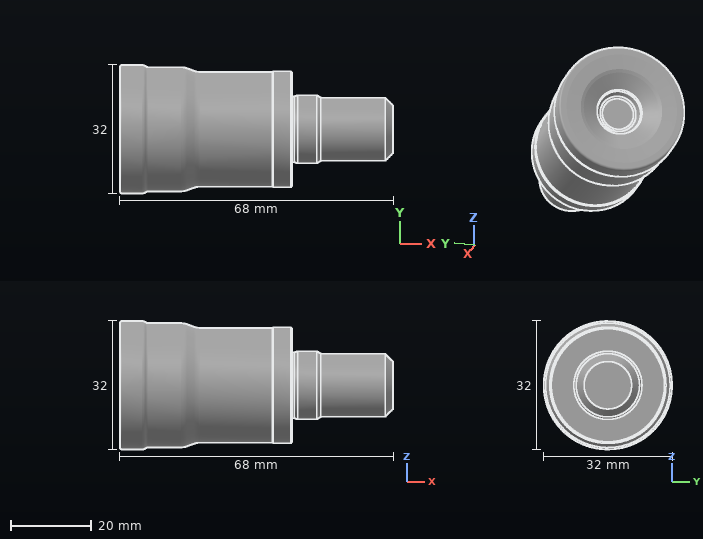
import cadquery as cq
import math

TOTAL_LENGTH = 68.0
HOUSING_LENGTH = 42.9

HEAD_RADIUS = 32.0 / 2
BARREL_RADIUS = 31.0 / 2
NECK_RADIUS = 28.6 / 2
FLANGE_RADIUS = 29.0 / 2
HEAD_EDGE_ROUND = 0.6
HEAD_RIM_END = 5.6
HEAD_CREST_LENGTH = 0.9
HEAD_ROOT_LENGTH = 0.55
TAPER_START = 15.2
TAPER_END = 19.9
TAPER_ANGLE = math.radians(20)
TAPER_DROP = BARREL_RADIUS - NECK_RADIUS
FLANGE_START = 38.15
NECK_END_BEVEL = 0.2
FLANGE_CHAMFER = 0.4

DISH_OUTER_RADIUS = 14.0
DISH_BLEND_RADIUS = 13.25
DISH_BLEND_DEPTH = 0.1
MOUTH_RADIUS = 10.35
MOUTH_DEPTH = 0.35
CONE_OUTER_RADIUS = 9.5
CONE_OUTER_DEPTH = 0.7
CONE_INNER_RADIUS = 5.7
CONE_INNER_DEPTH = 2.85
SOCKET_WALL_RADIUS = 5.5
SOCKET_WALL_DEPTH = 3.7
SOCKET_BASE_RADIUS = 4.55
SOCKET_BASE_DEPTH = 4.75
FLOOR_RADIUS = 3.95
FLOOR_DEPTH = 4.95

ROD_RADIUS = 15.8 / 2
COLLAR_RADIUS = 17.0 / 2
COLLAR_FOOT_RADIUS = 8.2
COLLAR_FOOT_LENGTH = 0.55
COLLAR_START = 44.3
COLLAR_END = 49.0
COLLAR_TAPER_LENGTH = 1.0
ROD_END_CHAMFER = 2.0

AXIS_START = (0, 0, 0)
AXIS_END = (1, 0, 0)


def revolve_about_x(outline):
    """Turn a closed half outline (axial position, radius) around the X axis."""
    return outline.close().revolve(360, AXIS_START, AXIS_END)


def make_housing_blank():
    head_drop = HEAD_RADIUS - BARREL_RADIUS
    shoulder_length = HEAD_CREST_LENGTH + HEAD_ROOT_LENGTH
    crest_drop = head_drop * HEAD_CREST_LENGTH / shoulder_length
    crest_end = HEAD_RIM_END + HEAD_CREST_LENGTH
    shoulder_end = HEAD_RIM_END + shoulder_length

    slope = math.tan(TAPER_ANGLE)
    half_slope = math.tan(TAPER_ANGLE / 2)
    taper_length = TAPER_END - TAPER_START
    arc_length = (taper_length * slope - TAPER_DROP) / (2 * (slope - half_slope))
    arc_drop = arc_length * half_slope

    outline = (
        cq.Workplane("XY")
        .lineTo(0, HEAD_RADIUS - HEAD_EDGE_ROUND)
        .radiusArc((HEAD_EDGE_ROUND, HEAD_RADIUS), HEAD_EDGE_ROUND)
        .lineTo(HEAD_RIM_END, HEAD_RADIUS)
        .tangentArcPoint((crest_end, HEAD_RADIUS - crest_drop), relative=False)
        .tangentArcPoint((shoulder_end, BARREL_RADIUS), relative=False)
        .lineTo(TAPER_START, BARREL_RADIUS)
        .tangentArcPoint((TAPER_START + arc_length, BARREL_RADIUS - arc_drop), relative=False)
        .lineTo(TAPER_END - arc_length, NECK_RADIUS + arc_drop)
        .tangentArcPoint((TAPER_END, NECK_RADIUS), relative=False)
        .lineTo(FLANGE_START - NECK_END_BEVEL, NECK_RADIUS)
        .lineTo(FLANGE_START, NECK_RADIUS - NECK_END_BEVEL)
        .lineTo(FLANGE_START, FLANGE_RADIUS)
        .lineTo(HOUSING_LENGTH - FLANGE_CHAMFER, FLANGE_RADIUS)
        .lineTo(HOUSING_LENGTH, FLANGE_RADIUS - FLANGE_CHAMFER)
        .lineTo(HOUSING_LENGTH, 0)
    )
    return revolve_about_x(outline)


def make_head_recess():
    outline = (
        cq.Workplane("XY")
        .lineTo(0, DISH_OUTER_RADIUS)
        .lineTo(DISH_BLEND_DEPTH, DISH_BLEND_RADIUS)
        .lineTo(MOUTH_DEPTH, MOUTH_RADIUS)
        .lineTo(CONE_OUTER_DEPTH, CONE_OUTER_RADIUS)
        .lineTo(CONE_INNER_DEPTH, CONE_INNER_RADIUS)
        .lineTo(SOCKET_WALL_DEPTH, SOCKET_WALL_RADIUS)
        .lineTo(SOCKET_BASE_DEPTH, SOCKET_BASE_RADIUS)
        .lineTo(FLOOR_DEPTH, FLOOR_RADIUS)
        .lineTo(FLOOR_DEPTH, 0)
    )
    return revolve_about_x(outline)


def make_rod():
    outline = (
        cq.Workplane("XY")
        .moveTo(HOUSING_LENGTH, 0)
        .lineTo(HOUSING_LENGTH, COLLAR_FOOT_RADIUS)
        .lineTo(HOUSING_LENGTH + COLLAR_FOOT_LENGTH, COLLAR_FOOT_RADIUS)
        .lineTo(COLLAR_START, COLLAR_RADIUS)
        .lineTo(COLLAR_END, COLLAR_RADIUS)
        .lineTo(COLLAR_END + COLLAR_TAPER_LENGTH, ROD_RADIUS)
        .lineTo(TOTAL_LENGTH - ROD_END_CHAMFER, ROD_RADIUS)
        .lineTo(TOTAL_LENGTH, ROD_RADIUS - ROD_END_CHAMFER)
        .lineTo(TOTAL_LENGTH, 0)
    )
    return revolve_about_x(outline)


housing = make_housing_blank().cut(make_head_recess())
rod = make_rod()

result = cq.Compound.makeCompound([housing.val(), rod.val()])